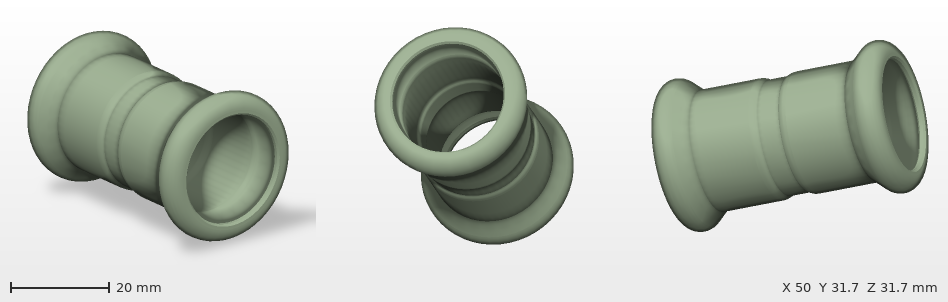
import cadquery as cq
import math

LENGTH = 50.0
BEAD_RADIUS = 15.85
BODY_RADIUS = 12.65
STOP_RADIUS = 12.05
WALL = 1.55

BEAD_ROUND = 3.1
MOUTH_RADIUS = 11.6
MOUTH_CHAMFER = 0.4
FLARE_END = 8.0
STOP_START = 20.95
STOP_END = 22.75


def polar(center, radius, angle):
    """Point on a profile arc; angle zero points radially outward, positive toward the middle."""
    return (center[0] + radius * math.sin(angle), center[1] + radius * math.cos(angle))


def half_profile():
    """Wall section from one end face to the middle plane."""
    middle = LENGTH / 2
    bead_center = (BEAD_ROUND, BEAD_RADIUS - BEAD_ROUND)
    seal_round = BEAD_ROUND - WALL
    lip_inner = bead_center[0] - seal_round

    flare_corner = (FLARE_END, BODY_RADIUS)
    run = flare_corner[0] - bead_center[0]
    rise = flare_corner[1] - bead_center[1]
    flare_angle = math.atan2(run, rise) - math.acos(BEAD_ROUND / math.hypot(run, rise))

    drop = BODY_RADIUS - STOP_RADIUS
    shoulder_run = STOP_END - STOP_START
    shoulder_round = (shoulder_run**2 + drop**2) / (2 * drop)
    shoulder_center = (STOP_START, BODY_RADIUS - shoulder_round)
    shoulder_angle = math.asin(shoulder_run / shoulder_round)
    stop_corner = (STOP_END, STOP_RADIUS)
    inner_round = shoulder_round - WALL

    return (
        cq.Workplane("XY")
        .moveTo(MOUTH_CHAMFER, MOUTH_RADIUS)
        .lineTo(0, MOUTH_RADIUS + MOUTH_CHAMFER)
        .lineTo(0, bead_center[1])
        .threePointArc(
            polar(bead_center, BEAD_ROUND, (flare_angle - math.pi / 2) / 2),
            polar(bead_center, BEAD_ROUND, flare_angle),
        )
        .lineTo(*flare_corner)
        .lineTo(STOP_START, BODY_RADIUS)
        .threePointArc(polar(shoulder_center, shoulder_round, shoulder_angle / 2), stop_corner)
        .lineTo(middle, STOP_RADIUS)
        .lineTo(middle, STOP_RADIUS - WALL)
        .lineTo(STOP_END, STOP_RADIUS - WALL)
        .threePointArc(
            polar(stop_corner, -WALL, shoulder_angle / 2),
            polar(stop_corner, -WALL, shoulder_angle),
        )
        .threePointArc(
            polar(shoulder_center, inner_round, shoulder_angle / 2),
            (STOP_START, BODY_RADIUS - WALL),
        )
        .lineTo(FLARE_END, BODY_RADIUS - WALL)
        .threePointArc(
            polar(flare_corner, -WALL, flare_angle / 2),
            polar(flare_corner, -WALL, flare_angle),
        )
        .lineTo(*polar(bead_center, seal_round, flare_angle))
        .threePointArc(
            polar(bead_center, seal_round, (flare_angle - math.pi / 2) / 2),
            (lip_inner, bead_center[1]),
        )
        .lineTo(lip_inner, MOUTH_RADIUS + MOUTH_CHAMFER)
        .lineTo(lip_inner - MOUTH_CHAMFER, MOUTH_RADIUS)
        .close()
    )


half = half_profile().revolve(360, (0, 0, 0), (1, 0, 0)).translate((-LENGTH / 2, 0, 0))
result = half.union(half.mirror("YZ")).clean()